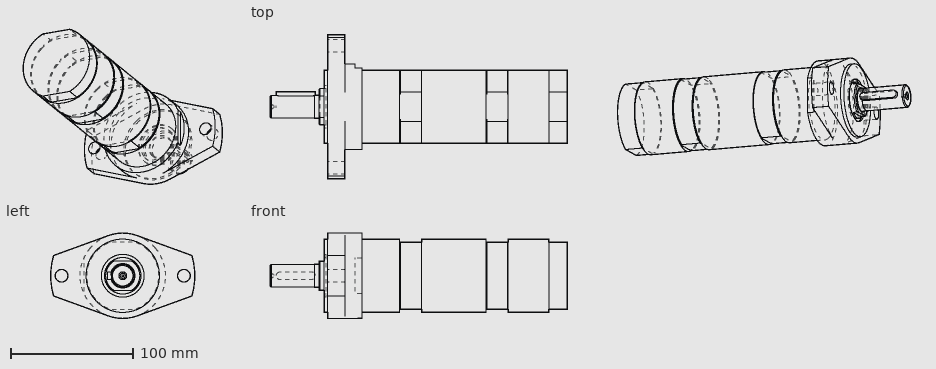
import cadquery as cq
import math


hub_start = 39.9
boss_start = 44.0
flange_start = 47.0
flange_end = 61.0
collar_end = 75.0
body_end = 243.0

shaft_diameter = 18.7
shaft_root_diameter = 19.0
shaft_root_start = 36.2
shaft_chamfer = 1.0

center_bevel_diameter = 6.3
center_cone_diameter = 4.1
center_pilot_diameter = 1.55
center_bevel_depth = 0.7
center_cone_angle = math.radians(60)
center_pilot_length = 1.7

key_start = 4.9
key_length = 32.0
key_width = 6.0
key_top = 12.5
key_seat = 6.0

hub_diameter = 30.0
hub_flat_height = 24.0
hub_chamfer = 1.0
shaft_gap_diameter = 20.0
shaft_gap_depth = 0.7
recess_diameter = 35.0
recess_depth = 1.5

flange_span = 118.0
collar_diameter = 70.0
ear_slope = math.radians(20)
bolt_spacing = 100.0
bolt_hole_diameter = 10.2
collar_flat_start = 69.5
collar_flat_offset = 31.8

body_diameter = 60.0
flat_height = 55.0
front_flats = (106.0, 124.0)
middle_flats = (176.7, 194.6)
rear_flats = (228.0, body_end)
groove_diameter = 58.8
wide_groove = 0.7
narrow_groove = 0.2
grooves = [
    (front_flats[0], front_flats[0] + wide_groove),
    (front_flats[1] - narrow_groove, front_flats[1]),
    (middle_flats[0], middle_flats[0] + wide_groove),
    (middle_flats[1] - wide_groove, middle_flats[1]),
    (rear_flats[0], rear_flats[0] + narrow_groove),
]


def cylinder(start, end, diameter):
    """Cylinder on the motor axis between two stations."""
    return cq.Workplane("YZ", origin=(start, 0, 0)).circle(diameter / 2).extrude(end - start)


def outside_flats(start, end, height, diameter):
    """Material to remove so that a round section keeps only the given Z height."""
    length = end - start
    middle = ((start + end) / 2, 0, 0)
    stock = cq.Workplane("XY", origin=middle).box(length, 2 * diameter, 2 * diameter)
    core = cq.Workplane("XY", origin=middle).box(length, 2 * diameter, height)
    return stock.cut(core)


def make_shaft():
    shaft = cylinder(0, shaft_root_start, shaft_diameter).faces("<X").chamfer(shaft_chamfer)
    shaft = shaft.union(cylinder(shaft_root_start, boss_start, shaft_root_diameter))
    key = (
        cq.Workplane("XZ", origin=(key_start + key_length / 2, key_top, 0))
        .slot2D(key_length, key_width)
        .extrude(key_top - key_seat)
    )
    return shaft.union(key).cut(make_center_drilling())


def make_center_drilling():
    cone_radius = center_cone_diameter / 2
    pilot_radius = center_pilot_diameter / 2
    cone_end = center_bevel_depth + (cone_radius - pilot_radius) / math.tan(center_cone_angle / 2)
    pilot_end = cone_end + center_pilot_length
    return (
        cq.Workplane("XY")
        .moveTo(0, 0)
        .lineTo(0, center_bevel_diameter / 2)
        .lineTo(center_bevel_depth, cone_radius)
        .lineTo(cone_end, pilot_radius)
        .lineTo(pilot_end, pilot_radius)
        .lineTo(pilot_end, 0)
        .close()
        .revolve(360, (0, 0, 0), (1, 0, 0))
    )


def make_hub():
    hub = cylinder(hub_start, boss_start + recess_depth, hub_diameter).faces("<X").chamfer(hub_chamfer)
    hub = hub.cut(outside_flats(hub_start, boss_start, hub_flat_height, hub_diameter))
    return hub.cut(cylinder(hub_start, hub_start + shaft_gap_depth, shaft_gap_diameter))


def make_flange():
    ear_radius = flange_span / 2
    collar_radius = collar_diameter / 2
    touch_y = collar_radius * math.sin(ear_slope)
    touch_z = collar_radius * math.cos(ear_slope)
    corner_angle = math.acos(collar_radius / ear_radius) + ear_slope
    corner_y = ear_radius * math.sin(corner_angle)
    corner_z = ear_radius * math.cos(corner_angle)
    plate = (
        cq.Workplane("YZ", origin=(flange_start, 0, 0))
        .moveTo(corner_y, -corner_z)
        .threePointArc((ear_radius, 0), (corner_y, corner_z))
        .lineTo(touch_y, touch_z)
        .threePointArc((0, collar_radius), (-touch_y, touch_z))
        .lineTo(-corner_y, corner_z)
        .threePointArc((-ear_radius, 0), (-corner_y, -corner_z))
        .lineTo(-touch_y, -touch_z)
        .threePointArc((0, -collar_radius), (touch_y, -touch_z))
        .close()
        .extrude(flange_end - flange_start)
    )
    bolt_holes = (
        cq.Workplane("YZ", origin=(flange_start, 0, 0))
        .pushPoints([(-bolt_spacing / 2, 0), (bolt_spacing / 2, 0)])
        .circle(bolt_hole_diameter / 2)
        .extrude(flange_end - flange_start)
    )
    collar = cylinder(flange_end, collar_end, collar_diameter)
    collar_flat = cq.Workplane("XY", origin=(collar_flat_start, collar_flat_offset, 0)).box(
        collar_end - collar_flat_start, collar_radius, collar_diameter, centered=(False, False, True)
    )
    return plate.cut(bolt_holes).union(collar.cut(collar_flat))


def make_body():
    body = cylinder(boss_start, body_end, body_diameter)
    for start, end in (front_flats, middle_flats, rear_flats):
        body = body.cut(outside_flats(start, end, flat_height, body_diameter))
    for start, end in grooves:
        groove = cylinder(start, end, body_diameter).cut(cylinder(start, end, groove_diameter))
        body = body.cut(groove)
    return body


recess = cylinder(boss_start, boss_start + recess_depth, recess_diameter)
result = make_body().union(make_flange()).cut(recess).union(make_hub()).union(make_shaft())